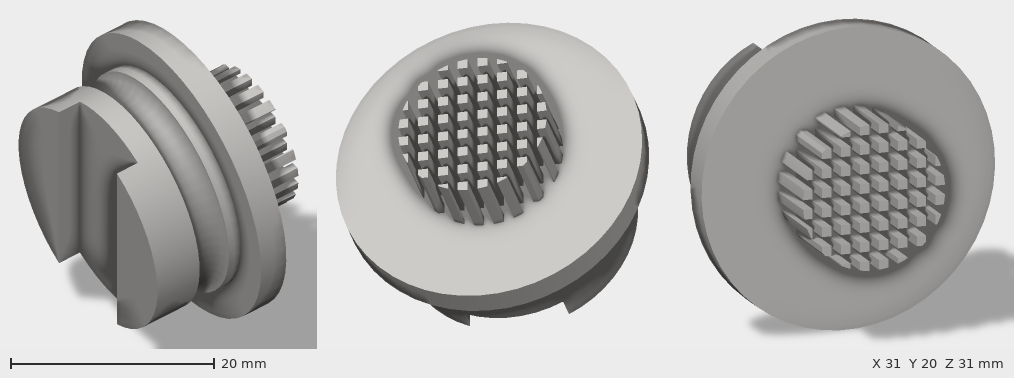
import cadquery as cq

flange_diameter = 31.0
flange_thickness = 3.0
body_diameter = 24.0
slot_width = 10.0
slot_depth = 2.5

body_length = 13.0
collar_width = 1.45
groove_radius = 1.75

flange_back_y = 0.0
flange_front_y = flange_back_y - flange_thickness
groove_back_y = flange_front_y - collar_width
groove_front_y = groove_back_y - 2 * groove_radius
head_front_y = flange_back_y - body_length

pin_field_diameter = 15.0
pin_length = 7.0
pin_pitch = 2.0
pin_slot_width = 1.0
pin_slot_count = 7


def make_body():
    """Revolve the flange, collar, half-round groove and head about the Y axis."""
    flange_radius = flange_diameter / 2
    body_radius = body_diameter / 2
    groove_middle_y = (groove_back_y + groove_front_y) / 2
    groove_bottom = body_radius - groove_radius
    profile = (
        cq.Workplane("YZ")
        .moveTo(flange_back_y, 0)
        .lineTo(flange_back_y, flange_radius)
        .lineTo(flange_front_y, flange_radius)
        .lineTo(flange_front_y, body_radius)
        .lineTo(groove_back_y, body_radius)
        .threePointArc((groove_middle_y, groove_bottom), (groove_front_y, body_radius))
        .lineTo(head_front_y, body_radius)
        .lineTo(head_front_y, 0)
        .close()
    )
    return profile.revolve(360, (0, 0, 0), (1, 0, 0))


def make_slot():
    """Slot across the full height of the head's front face."""
    slot_middle_y = head_front_y + slot_depth / 2
    return cq.Workplane("XY").box(slot_width, slot_depth, body_diameter).translate((0, slot_middle_y, 0))


def make_pins():
    """Round boss rising from the flange toward +Y, slotted along X and Z down to the flange."""
    pins = (
        cq.Workplane("XZ", origin=(0, flange_back_y, 0))
        .circle(pin_field_diameter / 2)
        .extrude(-pin_length)
    )
    pin_middle_y = flange_back_y + pin_length / 2
    first_offset = -(pin_slot_count - 1) * pin_pitch / 2
    slot_along_z = cq.Workplane("XY").box(pin_slot_width, pin_length, pin_field_diameter)
    slot_along_x = cq.Workplane("XY").box(pin_field_diameter, pin_length, pin_slot_width)
    for index in range(pin_slot_count):
        offset = first_offset + index * pin_pitch
        pins = pins.cut(slot_along_z.translate((offset, pin_middle_y, 0)))
        pins = pins.cut(slot_along_x.translate((0, pin_middle_y, offset)))
    return pins


result = make_body().cut(make_slot()).union(make_pins())